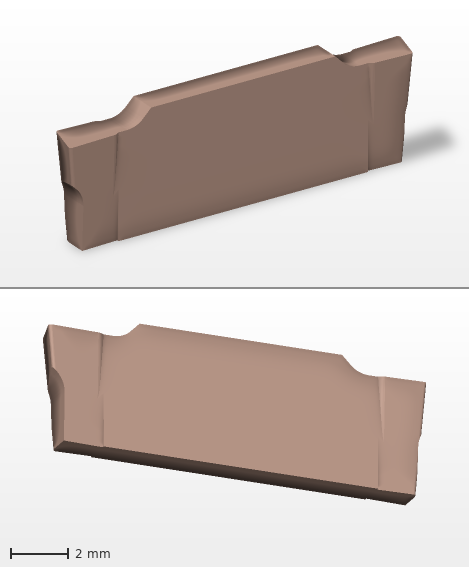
import cadquery as cq
import math

LENGTH = 14.7
HEIGHT = 4.81
HEAD_WIDTH = 1.5
BODY_WIDTH = 1.13

RAKE_HEIGHT = 4.2
BODY_END = 5.21
SHANK_END = 6.715
RAMP_FOOT = 4.85
RAMP_RADIUS = 0.95
RAMP_ANGLE = math.radians(45)
RELIEF_START = 1.77
RELIEF_RADIUS = 1.0
RELIEF_ANGLE = math.radians(45)

CORNER_RADIUS = 0.1
LEAD_ANGLE = math.radians(15)
BACK_TAPER = math.radians(2.5)
SIDE_DRAFT = math.radians(2.5)
FRONT_DRAFT = math.radians(5)

SHOULDER_START = 5.44
SHOULDER_RADIUS = 0.2
SHOULDER_TURN = math.radians(28)

CORNER_X = HEAD_WIDTH / 2 - CORNER_RADIUS
CORNER_Y = LENGTH / 2 - CORNER_RADIUS


def on_circle(centre, radius, angle):
    """Point of a circle at an angle counted from +X."""
    return (centre[0] + radius * math.cos(angle), centre[1] + radius * math.sin(angle))


def mirror_x(point):
    return (-point[0], point[1])


def corner_centre(side, depth):
    """Centre of a front corner round; side is -1 (sharp corner) or +1 (blunt corner)."""
    taper = math.tan(BACK_TAPER)
    half_width_at_origin = CORNER_X - depth * math.tan(SIDE_DRAFT) - CORNER_Y * taper
    front_distance = (
        -CORNER_X * math.sin(LEAD_ANGLE)
        + CORNER_Y * math.cos(LEAD_ANGLE)
        - depth * math.tan(FRONT_DRAFT)
    )
    y = (front_distance - side * half_width_at_origin * math.sin(LEAD_ANGLE)) / (
        math.cos(LEAD_ANGLE) + side * taper * math.sin(LEAD_ANGLE)
    )
    return (side * (half_width_at_origin + y * taper), y)


def side_point(blunt_centre, y):
    """Point on the +X side line of the head outline at a given Y."""
    tangent = on_circle(blunt_centre, CORNER_RADIUS, -BACK_TAPER)
    return (tangent[0] - (tangent[1] - y) * math.tan(BACK_TAPER), y)


def shoulder_points(start):
    """Start, middle and end of the shoulder round, then the foot of the shoulder slope (+X side)."""
    centre = on_circle(start, -SHOULDER_RADIUS, -BACK_TAPER)
    end_angle = BACK_TAPER + SHOULDER_TURN
    middle = on_circle(centre, SHOULDER_RADIUS, -BACK_TAPER - SHOULDER_TURN / 2)
    end = on_circle(centre, SHOULDER_RADIUS, -end_angle)
    foot = (end[0] - (end[1] - BODY_END) * math.tan(end_angle), BODY_END)
    return start, middle, end, foot


def add_head_outline(plane, height, with_shoulders):
    """Draw the outline of the +Y head at one height on a workplane lying at that height."""
    depth = RAKE_HEIGHT - height
    blunt = corner_centre(1, depth)
    sharp = corner_centre(-1, depth)
    front_normal = math.pi / 2 - LEAD_ANGLE
    left_normal = math.pi + BACK_TAPER
    blunt_middle = (front_normal - BACK_TAPER) / 2
    sharp_middle = (front_normal + left_normal) / 2

    if with_shoulders:
        start, middle, end, foot = shoulder_points(side_point(blunt, SHOULDER_START))
        outline = plane.moveTo(*foot).lineTo(*end).threePointArc(middle, start)
    else:
        foot = side_point(blunt, BODY_END)
        outline = plane.moveTo(*foot)

    outline = (
        outline
        .lineTo(*on_circle(blunt, CORNER_RADIUS, -BACK_TAPER))
        .threePointArc(
            on_circle(blunt, CORNER_RADIUS, blunt_middle),
            on_circle(blunt, CORNER_RADIUS, front_normal),
        )
        .lineTo(*on_circle(sharp, CORNER_RADIUS, front_normal))
        .threePointArc(
            on_circle(sharp, CORNER_RADIUS, sharp_middle),
            on_circle(sharp, CORNER_RADIUS, left_normal),
        )
    )
    if with_shoulders:
        outline = (
            outline
            .lineTo(*mirror_x(start))
            .threePointArc(mirror_x(middle), mirror_x(end))
        )
    return outline.lineTo(*mirror_x(foot)).close()


def drafted_head(with_shoulders):
    """Solid between the head outlines at the bottom and at rake height."""
    bottom = add_head_outline(cq.Workplane("XY"), 0, with_shoulders)
    top_plane = bottom.workplane(offset=RAKE_HEIGHT)
    return add_head_outline(top_plane, RAKE_HEIGHT, with_shoulders).loft(ruled=True)


def make_body():
    """Constant-width bar with the raised middle."""
    arc_end_y = RAMP_FOOT - RAMP_RADIUS * math.sin(RAMP_ANGLE)
    arc_end_z = RAKE_HEIGHT + RAMP_RADIUS * (1 - math.cos(RAMP_ANGLE))
    crest_y = arc_end_y - (HEIGHT - arc_end_z) / math.tan(RAMP_ANGLE)
    arc_middle = (
        RAMP_FOOT - RAMP_RADIUS * math.sin(RAMP_ANGLE / 2),
        RAKE_HEIGHT + RAMP_RADIUS * (1 - math.cos(RAMP_ANGLE / 2)),
    )
    return (
        cq.Workplane("YZ")
        .moveTo(-BODY_END, 0)
        .lineTo(BODY_END, 0)
        .lineTo(BODY_END, RAKE_HEIGHT)
        .lineTo(RAMP_FOOT, RAKE_HEIGHT)
        .threePointArc(arc_middle, (arc_end_y, arc_end_z))
        .lineTo(crest_y, HEIGHT)
        .lineTo(-crest_y, HEIGHT)
        .lineTo(-arc_end_y, arc_end_z)
        .threePointArc(mirror_x(arc_middle), (-RAMP_FOOT, RAKE_HEIGHT))
        .lineTo(-BODY_END, RAKE_HEIGHT)
        .close()
        .extrude(BODY_WIDTH / 2, both=True)
    )


def make_head_envelope():
    """Side profile of the +Y head: shank end, relief curve and overhanging tip."""
    tip_y = LENGTH / 2
    relief_centre = (SHANK_END + RELIEF_RADIUS, RELIEF_START)
    relief_end = on_circle(relief_centre, RELIEF_RADIUS, math.pi - RELIEF_ANGLE)
    overhang_z = relief_end[1] + (tip_y - relief_end[0]) / math.tan(RELIEF_ANGLE)
    return (
        cq.Workplane("YZ")
        .moveTo(BODY_END, 0)
        .lineTo(SHANK_END, 0)
        .lineTo(SHANK_END, RELIEF_START)
        .threePointArc(
            on_circle(relief_centre, RELIEF_RADIUS, math.pi - RELIEF_ANGLE / 2),
            relief_end,
        )
        .lineTo(tip_y, overhang_z)
        .lineTo(tip_y, RAKE_HEIGHT)
        .lineTo(BODY_END, RAKE_HEIGHT)
        .close()
        .extrude(HEAD_WIDTH, both=True)
    )


def make_head():
    """The +Y head: a shouldered, drafted block around a core no wider than the body."""
    core_slab = cq.Workplane("XY").box(BODY_WIDTH, LENGTH, HEIGHT, centered=(True, True, False))
    core = drafted_head(with_shoulders=False).intersect(core_slab)
    head = drafted_head(with_shoulders=True).union(core)
    return head.intersect(make_head_envelope())


head = make_head()
opposite_head = head.rotate((0, 0, 0), (0, 0, 1), 180)
result = make_body().union(head).union(opposite_head)